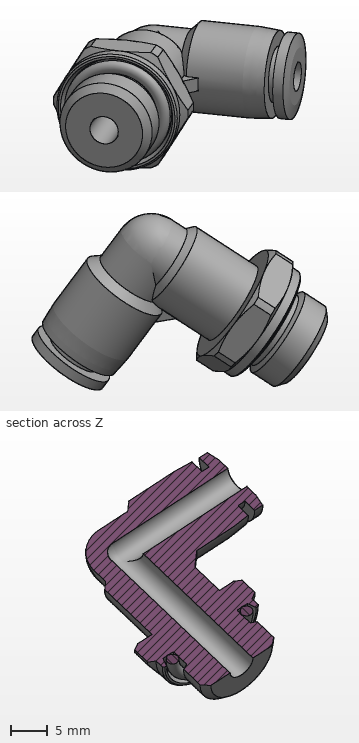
import cadquery as cq
import math


elbow_radius = 5.02
bore_radius = 2.0

arm_radius = 6.3
arm_shoulder_start = 5.05
arm_shoulder_end = arm_shoulder_start + arm_radius - elbow_radius
arm_taper_start = 14.32
arm_taper_end = 16.25
arm_taper_radius = 6.13
arm_end = 17.27
arm_end_radius = 6.03

collar_neck_radius = 3.87
collar_radius = 5.95
collar_start = 18.45
collar_bevel_start = 19.9
outlet_end = 20.32
outlet_end_radius = 3.97

leg_radius = 6.0
leg_shoulder_start = 2.45
leg_shoulder_end = leg_shoulder_start + leg_radius - elbow_radius

hex_across_flats = 17.0
hex_corner_radius = 9.5
hex_start = 13.5
hex_end = 17.45
hex_bevel_radius = hex_across_flats / 2
hex_bevel_depth = (hex_corner_radius - hex_bevel_radius) * math.tan(math.radians(30))

flange_radius = hex_across_flats / 2
flange_bevel = 0.25
flange_end = 19.02

neck_radius = 5.65
oring_tube_radius = 0.9
oring_center_radius = neck_radius + oring_tube_radius
oring_crest = 19.5
oring_center = oring_crest - oring_tube_radius
recess_floor = oring_center - oring_tube_radius
recess_floor_radius = oring_center_radius + oring_tube_radius
recess_mouth_radius = 7.9

thread_radius = 6.5
neck_end = 20.48
thread_start = 20.92
thread_bevel_start = 24.48
thread_end = 25.45
thread_end_radius = 5.43

gusset_thickness = 1.9
gusset_reach = 14.25


def leg_revolve(profile):
    """Revolve (radius, distance) points about the leg axis."""
    points = [(radius, -distance) for radius, distance in profile]
    return cq.Workplane("XY").polyline(points).close().revolve(360, (0, 0), (0, 1))


def make_arm():
    profile = [
        (0, 0),
        (0, elbow_radius),
        (arm_shoulder_start, elbow_radius),
        (arm_shoulder_end, arm_radius),
        (arm_taper_start, arm_radius),
        (arm_taper_end, arm_taper_radius),
        (arm_end, arm_end_radius),
        (arm_end, collar_neck_radius),
        (collar_start, collar_neck_radius),
        (collar_start, collar_radius),
        (collar_bevel_start, collar_radius),
        (outlet_end, outlet_end_radius),
        (outlet_end, 0),
    ]
    return cq.Workplane("XY").polyline(profile).close().revolve(360, (0, 0), (1, 0))


def make_leg():
    return leg_revolve([
        (0, 0),
        (elbow_radius, 0),
        (elbow_radius, leg_shoulder_start),
        (leg_radius, leg_shoulder_end),
        (leg_radius, hex_end),
        (flange_radius, hex_end),
        (flange_radius, flange_end - flange_bevel),
        (flange_radius - flange_bevel, flange_end),
        (recess_mouth_radius, flange_end),
        (recess_floor_radius, recess_floor),
        (neck_radius, recess_floor),
        (neck_radius, neck_end),
        (thread_radius, thread_start),
        (thread_radius, thread_bevel_start),
        (thread_end_radius, thread_end),
        (0, thread_end),
    ])


def make_hexagon():
    """Hexagon with turned corners and beveled ends, its flats facing +Z and -Z."""
    across_corners = hex_across_flats / math.cos(math.radians(30))
    prism = (
        cq.Workplane("XZ", origin=(0, -hex_start, 0))
        .polygon(6, across_corners)
        .extrude(hex_end - hex_start)
    )
    turned_envelope = leg_revolve([
        (0, hex_start),
        (hex_bevel_radius, hex_start),
        (hex_corner_radius, hex_start + hex_bevel_depth),
        (hex_corner_radius, hex_end - hex_bevel_depth),
        (hex_bevel_radius, hex_end),
        (0, hex_end),
    ])
    return prism.intersect(turned_envelope)


def make_gusset():
    corners = [
        (0, 0),
        (arm_shoulder_end, 0),
        (gusset_reach - arm_shoulder_start, -arm_shoulder_start),
        (arm_shoulder_start, arm_shoulder_start - gusset_reach),
        (0, arm_shoulder_start - gusset_reach),
    ]
    return cq.Workplane("XY").polyline(corners).close().extrude(gusset_thickness / 2, both=True)


def make_passage():
    """Bent flow passage with a rounded corner."""
    inlet = cq.Workplane("XZ").circle(bore_radius).extrude(thread_end)
    outlet = cq.Workplane("YZ").circle(bore_radius).extrude(outlet_end)
    return cq.Workplane("XY").sphere(bore_radius).union(inlet).union(outlet)


def make_fitting():
    body = cq.Workplane("XY").sphere(elbow_radius)
    for section in (make_arm(), make_leg(), make_hexagon(), make_gusset()):
        body = body.union(section)
    return body.cut(make_passage())


def make_oring():
    """Torus resting on the neck and on the recess floor."""
    return (
        cq.Workplane("XY")
        .center(oring_center_radius, -oring_center)
        .circle(oring_tube_radius)
        .revolve(360, (-oring_center_radius, 0), (-oring_center_radius, 1))
    )


fitting = make_fitting()
oring = make_oring()

result = cq.Compound.makeCompound([*fitting.solids().vals(), *oring.solids().vals()])